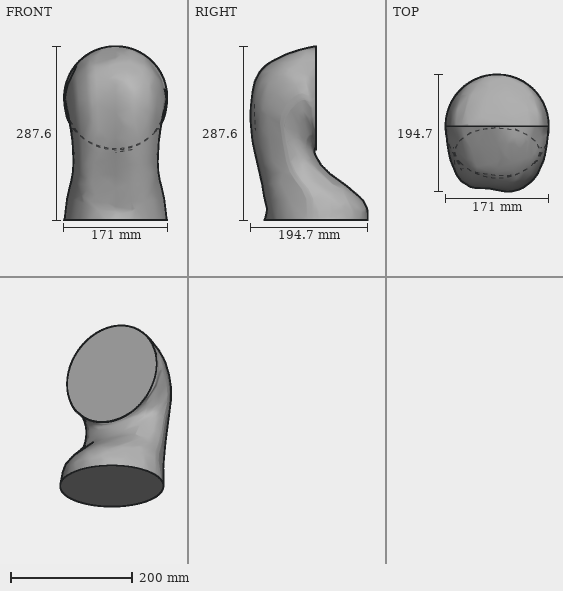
import cadquery as cq
import math

height = 287.5
end_diameter = 171.0
end_radius = end_diameter / 2
mouth_center_z = height - end_radius

cheek_angle = math.radians(135)

NECK_SECTIONS = [
    ((-81.6, 23.0), (49.7, -72.0, 26.2), (81.6, -6.3, 26.2), (82.0, 26.0)),
    ((-86.0, 60.5), (48.0, -79.0, 57.5), (73.5, -26.0, 63.2), (51.2, 56.0)),
    ((-97.7, 109.2), (46.3, -89.7, 106.5), (69.5, -51.7, 110.0), (16.5, 82.0)),
    ((-105.0, 155.2), (45.7, -99.0, 155.2), (72.5, -58.6, 145.5), (4.3, 97.2)),
    ((-105.2, 201.2), (45.5, -99.2, 198.5), (76.5, -53.8, 165.5), (-1.1, 107.8)),
    ((-96.0, 239.8), (46.0, -86.0, 233.7), (80.5, -39.7, 186.3), (-3.0, 113.0)),
    ((-65.8, 266.0), (47.5, -54.5, 258.7), (83.5, -19.5, 198.5), (-2.3, 115.5)),
]


def closed_section(outer, shoulder, side, inner):
    """Smooth loop, symmetric about X = 0, through the ridges, shoulders and sides."""
    inner_share = -math.cos(cheek_angle)
    cheek = (
        side[0] * math.sin(cheek_angle),
        side[1] + inner_share * (inner[0] - side[1]),
        side[2] + inner_share * (inner[1] - side[2]),
    )
    half = [shoulder, side, cheek]
    mirrored = [(-x, y, z) for x, y, z in reversed(half)]
    points = [(0, *outer), *half, (0, *inner), *mirrored]
    edge = cq.Edge.makeSpline([cq.Vector(*p) for p in points], periodic=True)
    return cq.Wire.assembleEdges([edge])


def round_end(center, outer_direction, normal):
    """End circle that starts at the outside of the bend."""
    plane = cq.Plane(origin=center, xDir=outer_direction, normal=normal)
    return cq.Workplane(plane).circle(end_radius).wires().val()


base = round_end((0, 0, 0), (0, -1, 0), (0, 0, 1))
mouth = round_end((0, 0, mouth_center_z), (0, 0, 1), (0, 1, 0))
neck = [closed_section(*section) for section in NECK_SECTIONS]
body = cq.Solid.makeLoft([base, *neck, mouth])

result = cq.Workplane("XY").newObject([body])